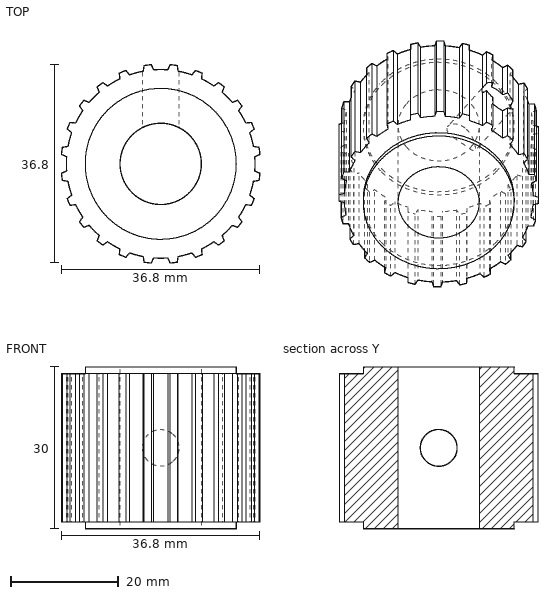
import cadquery as cq
import math

total_height = 30.0
hub_height = 1.25
hub_radius = 14.0
bore_radius = 7.5

tooth_count = 24
root_radius = 17.5
tip_radius = 18.5
tooth_base_width = 1.95
tooth_tip_width = 1.35

screw_hole_radius = 3.4

rim_height = total_height - 2 * hub_height
tooth_pitch_angle = 360 / tooth_count
overlap = 0.35


def make_tooth():
    """One tapered tooth pointing along +X, with a tip that follows the tip circle."""
    half_base = tooth_base_width / 2
    half_tip = tooth_tip_width / 2
    base_x = math.sqrt(root_radius**2 - half_base**2)
    tip_x = math.sqrt(tip_radius**2 - half_tip**2)
    return (
        cq.Workplane("XY")
        .workplane(offset=hub_height)
        .moveTo(root_radius - overlap, -half_base)
        .lineTo(base_x, -half_base)
        .lineTo(tip_x, -half_tip)
        .threePointArc((tip_radius, 0), (tip_x, half_tip))
        .lineTo(base_x, half_base)
        .lineTo(root_radius - overlap, half_base)
        .close()
        .extrude(rim_height)
    )


body = cq.Workplane("XY").circle(hub_radius).extrude(total_height)
rim = cq.Workplane("XY").workplane(offset=hub_height).circle(root_radius).extrude(rim_height)
body = body.union(rim)

tooth = make_tooth()
for index in range(tooth_count):
    angle = (index + 0.5) * tooth_pitch_angle
    body = body.union(tooth.rotate((0, 0, 0), (0, 0, 1), angle))

bore = cq.Workplane("XY").circle(bore_radius).extrude(total_height)
body = body.cut(bore)

screw_hole = (
    cq.Workplane("XZ", origin=(0, 0, total_height / 2))
    .circle(screw_hole_radius)
    .extrude(-(tip_radius + overlap))
)
result = body.cut(screw_hole)